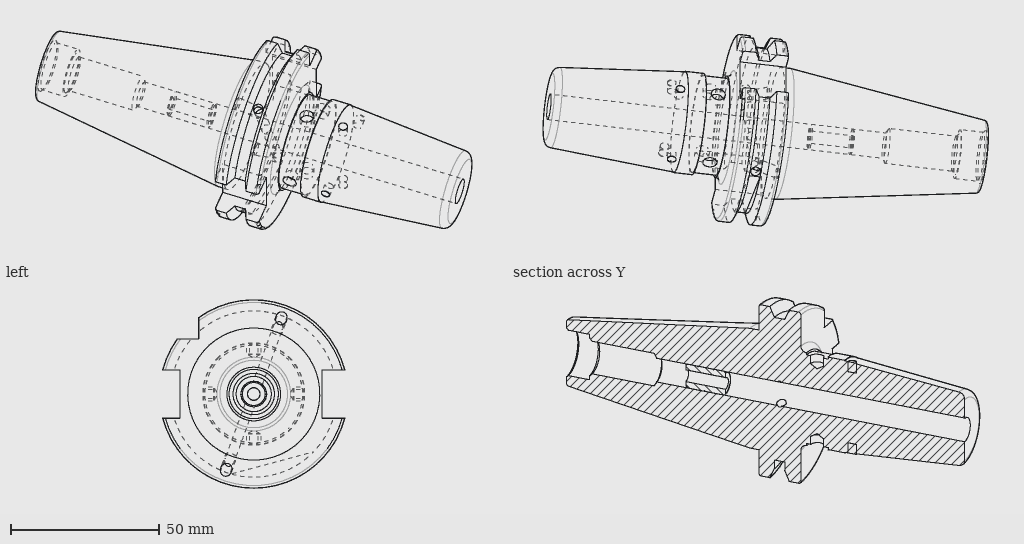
import cadquery as cq
import math


total_length = 148.4
taper_length = 68.4
flange_start = 71.7
flange_end = 87.4
neck_start = 89.5
collar_start = 97.5
collar_end = 103.7

gauge_radius = 22.3
half_taper_slope = 7 / 48
shank_end_radius = gauge_radius - half_taper_slope * taper_length
shank_end_fillet = 1.0

flange_radius = 31.8
flange_edge_fillet = 0.9
flange_width = flange_end - flange_start
flange_middle = flange_start + flange_width / 2
groove_middle = 79.4
groove_floor_radius = 28.0
groove_floor_width = 3.7
groove_mouth_width = 7.1

neck_radius = 16.5
collar_radius = 17.2
root_fillet = neck_start - flange_end
nose_large_radius = 17.0
nose_end_radius = 13.5
nose_end_fillet = 2.4
nose_slope = (nose_large_radius - nose_end_radius) / (total_length - collar_end)

slot_width = 16.2
front_slot_floor = 23.0
back_slot_floor = 25.0
notch_floor = 18.5
flat_distance = 24.0
flat_angle = 15.0

coolant_angle = 20.0
coolant_slope_angle = 30.0
coolant_radius = 2.0
coolant_entry_distance = 27.2
groove_hole_radius = 1.6

balance_hole_x = 93.3
balance_hole_radius = 2.4
balance_hole_depth = 3.0
drill_point_angle = 118.0

mouth_radius = 9.0
pilot_radius = 8.3
pilot_depth = 8.6
thread_radius = 7.0
thread_chamfer = 1.0
thread_core_radius = thread_radius - thread_chamfer
thread_end = 32.6
bore_radius = 4.3

screw_start = 44.5
screw_length = 14.8
screw_chamfer = 0.5
screw_hole_radius = 2.1

side_plug_x = 106.4
side_plug_radius = 1.5
side_plug_length = 3.7
side_plug_top = nose_large_radius - nose_slope * (side_plug_x - side_plug_radius - collar_end)

QUARTER_TURNS = (0, 90, 180, 270)
HALF_TURNS = (0, 180)


def turned_about_x(points):
    """Solid of revolution about X of the closed outline through (x, radius) points."""
    return cq.Workplane("XZ").polyline(points).close().revolve(360, (0, 0, 0), (1, 0, 0))


def about_x(solid, angle):
    return solid.rotate((0, 0, 0), (1, 0, 0), angle)


def upright_cylinder(radius, x, bottom, top):
    return cq.Workplane("XY", origin=(x, 0, bottom)).circle(radius).extrude(top - bottom)


def shank():
    blank = turned_about_x(
        [
            (0, 0),
            (0, shank_end_radius),
            (taper_length, gauge_radius),
            (flange_start, gauge_radius),
            (flange_start, 0),
        ]
    )
    return blank.faces("<X").edges().fillet(shank_end_fillet)


def flange():
    disc = cq.Workplane("YZ", origin=(flange_start, 0, 0)).circle(flange_radius).extrude(flange_width)
    disc = disc.faces("<X or >X").edges().fillet(flange_edge_fillet)
    half_floor = groove_floor_width / 2
    half_mouth = groove_mouth_width / 2
    groove = turned_about_x(
        [
            (groove_middle - half_floor, groove_floor_radius),
            (groove_middle + half_floor, groove_floor_radius),
            (groove_middle + half_mouth, flange_radius),
            (groove_middle - half_mouth, flange_radius),
        ]
    )
    return disc.cut(groove)


def drive_slots():
    slots = cq.Workplane("XY")
    for side, floor in ((-1, front_slot_floor), (1, back_slot_floor)):
        slot_middle = side * (floor + flange_radius / 2)
        slot = cq.Workplane("XY", origin=(flange_middle, slot_middle, 0))
        slots = slots.union(slot.box(flange_width, flange_radius, slot_width))
    return slots


def orientation_notch():
    notch_middle = notch_floor + flange_radius / 2
    notch = cq.Workplane("XY", origin=(flange_middle, notch_middle, notch_middle))
    return notch.box(flange_width, flange_radius, flange_radius)


def groove_flat():
    depth = flange_radius - flat_distance
    cutter = cq.Workplane("XY", origin=(groove_middle, 0, -flat_distance - depth / 2))
    return about_x(cutter.box(groove_floor_width, 2 * flange_radius, depth), -flat_angle)


def neck_and_nose():
    profile = (
        cq.Workplane("XZ")
        .moveTo(flange_end, 0)
        .lineTo(flange_end, collar_radius + root_fillet)
        .radiusArc((neck_start, collar_radius), -root_fillet)
        .lineTo(neck_start, neck_radius)
        .lineTo(collar_start, neck_radius)
        .lineTo(collar_start, collar_radius)
        .lineTo(collar_end, collar_radius)
        .lineTo(collar_end, nose_large_radius)
        .lineTo(total_length, nose_end_radius)
        .lineTo(total_length, 0)
        .close()
    )
    return profile.revolve(360, (0, 0, 0), (1, 0, 0)).faces(">X").edges().fillet(nose_end_fillet)


def stepped_bore():
    mouth_chamfer = mouth_radius - pilot_radius
    drill_point = (thread_core_radius - bore_radius) / math.tan(math.radians(drill_point_angle / 2))
    return turned_about_x(
        [
            (0, 0),
            (0, mouth_radius),
            (mouth_chamfer, pilot_radius),
            (pilot_depth, pilot_radius),
            (pilot_depth, thread_radius),
            (pilot_depth + thread_chamfer, thread_core_radius),
            (thread_end, thread_core_radius),
            (thread_end + drill_point, bore_radius),
            (total_length, bore_radius),
            (total_length, 0),
        ]
    )


def coolant_channel():
    """One sloping channel from the flange face, and the radial hole where it ends."""
    lead_in = 2 * coolant_radius
    channel_length = (groove_middle - flange_start) / math.cos(math.radians(coolant_slope_angle))
    sloping = (
        cq.Workplane("YZ", origin=(-lead_in, 0, 0))
        .circle(coolant_radius)
        .extrude(lead_in + channel_length)
        .rotate((0, 0, 0), (0, 1, 0), coolant_slope_angle)
        .translate((flange_start, 0, coolant_entry_distance))
    )
    radial = upright_cylinder(groove_hole_radius, groove_middle, 0, flange_radius)
    return about_x(sloping.union(radial), coolant_angle)


def balance_hole():
    floor = neck_radius - balance_hole_depth
    tip = floor - balance_hole_radius / math.tan(math.radians(drill_point_angle / 2))
    return (
        cq.Workplane("XZ", origin=(balance_hole_x, 0, 0))
        .moveTo(0, tip)
        .lineTo(balance_hole_radius, floor)
        .lineTo(balance_hole_radius, collar_radius)
        .lineTo(0, collar_radius)
        .close()
        .revolve(360, (0, 0, 0), (0, 1, 0))
    )


def side_plug(angle):
    plug = upright_cylinder(side_plug_radius, side_plug_x, side_plug_top - side_plug_length, side_plug_top)
    return about_x(plug, angle)


def adjusting_screw():
    blank = cq.Workplane("YZ", origin=(screw_start, 0, 0)).circle(bore_radius).extrude(screw_length)
    blank = blank.faces("<X or >X").edges().chamfer(screw_chamfer)
    return blank.faces("<X").workplane().hole(2 * screw_hole_radius)


def holder(side_plugs):
    notched_flange = flange().cut(drive_slots()).cut(orientation_notch()).cut(groove_flat())
    body = notched_flange.union(shank()).union(neck_and_nose()).cut(stepped_bore())
    for angle in HALF_TURNS:
        body = body.cut(about_x(coolant_channel(), angle))
    for angle in QUARTER_TURNS:
        body = body.cut(about_x(balance_hole(), angle))
    for plug in side_plugs:
        body = body.cut(plug)
    return body


side_plugs = [side_plug(angle) for angle in QUARTER_TURNS]
screw = adjusting_screw()
holder_body = holder(side_plugs)

result = cq.Compound.makeCompound([holder_body.val(), screw.val(), *[plug.val() for plug in side_plugs]])